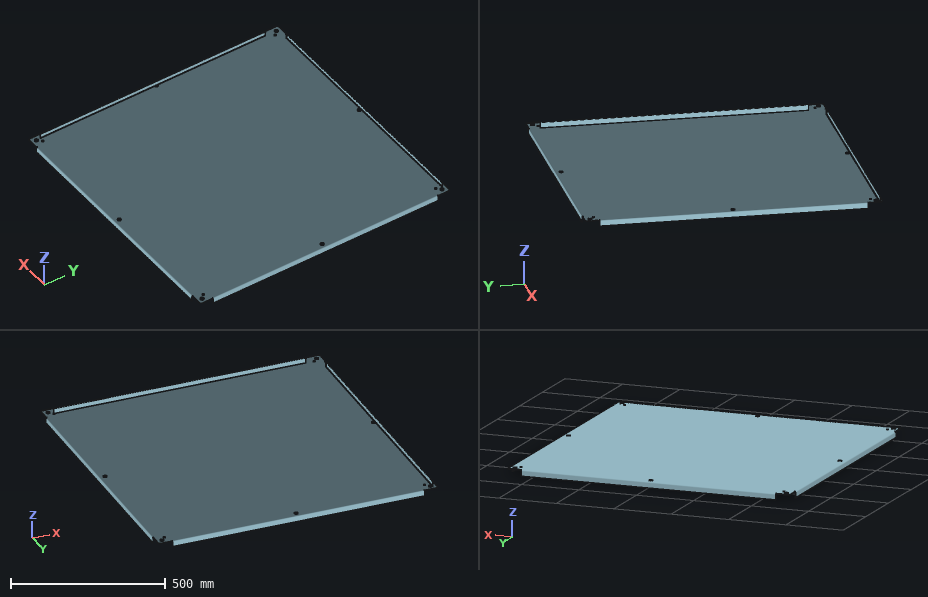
import cadquery as cq

outer_width = 989.0
height = 22.0

sheet = 3.0
bend_inner_radius = 3.0
bend_outer_radius = bend_inner_radius + sheet
flange_length = 887.0
bend_span = outer_width - 2 * bend_outer_radius

corner_width = 983.0
corner_radius = 7.0

mounting_hole_diameter = 13.0
mounting_hole_offset = 473.0
pilot_hole_diameter = 7.1
pilot_hole_offset = 458.0


def make_plate():
    """Flat square sheet with rounded corners, set back to the bend lines along the flanges."""
    plate = (
        cq.Workplane("XY")
        .workplane(offset=height - sheet)
        .rect(corner_width, corner_width)
        .extrude(sheet)
        .edges("|Z")
        .fillet(corner_radius)
    )
    setback = cq.Workplane("XY").box(
        outer_width, flange_length, height, centered=(False, True, False)
    ).translate((bend_span / 2, 0, 0))
    for side in range(4):
        plate = plate.cut(turn_to_side(setback, side))
    return plate


def make_flange():
    """Edge flange on the +X side, folded down through a quarter-circle bend."""
    bend_start = bend_span / 2
    outer_face = outer_width / 2
    inner_face = outer_face - sheet
    bend_center_z = height - bend_outer_radius
    return (
        cq.Workplane("XZ")
        .moveTo(bend_start - sheet, height)
        .lineTo(bend_start, height)
        .radiusArc((outer_face, bend_center_z), bend_outer_radius)
        .lineTo(outer_face, 0)
        .lineTo(inner_face, 0)
        .lineTo(inner_face, bend_center_z)
        .radiusArc((bend_start, height - sheet), -bend_inner_radius)
        .lineTo(bend_start - sheet, height - sheet)
        .close()
        .extrude(flange_length / 2, both=True)
    )


def turn_to_side(body, side):
    """Rotate a body made for the +X side by quarter turns about the panel axis."""
    return body.rotate((0, 0, 0), (0, 0, 1), 90 * side)


def corner_points(offset):
    return [(x, y) for x in (-offset, offset) for y in (-offset, offset)]


def drill(body, points, diameter):
    """Cut round through holes at the given XY points."""
    cutters = cq.Workplane("XY").pushPoints(points).circle(diameter / 2).extrude(height)
    return body.cut(cutters)


result = make_plate()
flange = make_flange()
for side in range(4):
    result = result.union(turn_to_side(flange, side))

side_middle_points = [
    (mounting_hole_offset, 0),
    (-mounting_hole_offset, 0),
    (0, mounting_hole_offset),
    (0, -mounting_hole_offset),
]
mounting_points = corner_points(mounting_hole_offset) + side_middle_points
result = drill(result, mounting_points, mounting_hole_diameter)

result = drill(result, corner_points(pilot_hole_offset), pilot_hole_diameter)